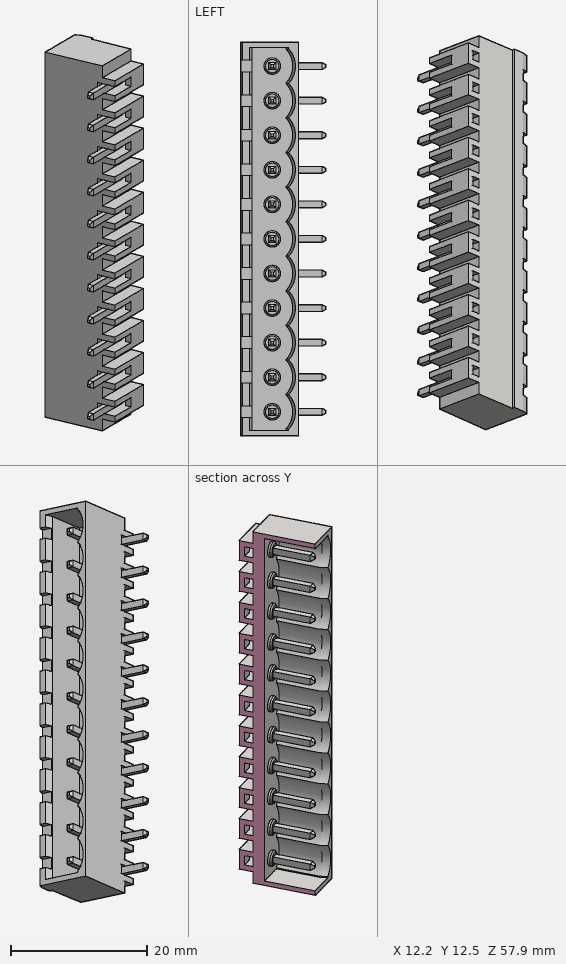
import cadquery as cq
import math


pin_count = 11
pitch = 5.08
housing_length = 57.9
first_pin_z = (housing_length - (pin_count - 1) * pitch) / 2
pin_levels = [first_pin_z + i * pitch for i in range(pin_count)]

housing_depth = 10.0
overall_depth = 12.2
lip_front_height = 8.2
lip_height = 8.5
lip_slope_length = 1.05
lip_length = 2.95
roof_front_height = 8.05
roof_back_height = 7.8

cavity_depth = 8.1
end_wall = 0.8
taper_depth = 1.2
roof_mouth_y = 7.25
roof_inner_y = 6.85
scallop_mouth_y = 0.45
scallop_inner_y = 0.85
scallop_radius = 3.7

notch_width = 1.75
notch_depth = 1.05

rib_width = 3.3
recess_width = 1.45
recess_start_x = 9.2
window_end_x = 11.3

pin_y = 3.9
pin_width = 1.05
pin_front_x = 1.05
pin_tip_length = 0.5
pin_tip_width = 0.4
leg_thickness = 0.85
leg_x = 10.215
leg_length = 4.0
leg_tip_width = 0.4
boss_diameter = 2.45
boss_height = 0.6
boss_chamfer = 0.25
recess_top_y = pin_y + pin_width / 2


def box(x_range, y_range, z_range):
    """Axis-aligned box between pairs of limits."""
    (x0, x1), (y0, y1), (z0, z1) = x_range, y_range, z_range
    return cq.Workplane("XY").box(x1 - x0, y1 - y0, z1 - z0, centered=False).translate((x0, y0, z0))


def box_at_level(x_range, y_range, level, width):
    """Box of the given Z width, centred on one pin level."""
    return box(x_range, y_range, (level - width / 2, level + width / 2))


def rear_roof_height(x):
    """Height of the gently falling roof behind the lip."""
    fall = (roof_front_height - roof_back_height) / (overall_depth - lip_length)
    return roof_front_height - fall * (x - lip_length)


def housing_shell():
    """Housing block with the raised lip along its mating edge."""
    return (
        cq.Workplane("XY")
        .moveTo(0, 0)
        .lineTo(housing_depth, 0)
        .lineTo(housing_depth, rear_roof_height(housing_depth))
        .lineTo(lip_length, roof_front_height)
        .lineTo(lip_length, lip_height)
        .lineTo(lip_slope_length, lip_height)
        .lineTo(0, lip_front_height)
        .close()
        .extrude(housing_length)
    )


def cavity_section(x, roof_y, scallop_y):
    """Cavity outline: flat roof and ends, one arc per pin along the floor side."""
    cusp_y = scallop_y + scallop_radius - math.sqrt(scallop_radius**2 - (pitch / 2) ** 2)
    section = (
        cq.Workplane("YZ", origin=(x, 0, 0))
        .moveTo(roof_y, housing_length - end_wall)
        .lineTo(roof_y, end_wall)
        .lineTo(cusp_y, end_wall)
        .lineTo(cusp_y, pin_levels[0] - pitch / 2)
    )
    for level in pin_levels:
        section = section.threePointArc((scallop_y, level), (cusp_y, level + pitch / 2))
    return section.lineTo(cusp_y, housing_length - end_wall).close()


def cavity():
    """Tapered mouth followed by a straight pocket."""
    mouth = cavity_section(0, roof_mouth_y, scallop_mouth_y).wires().val()
    throat = cavity_section(taper_depth, roof_inner_y, scallop_inner_y).wires().val()
    lead_in = cq.Workplane(cq.Solid.makeLoft([mouth, throat], True))
    pocket = cavity_section(taper_depth, roof_inner_y, scallop_inner_y).extrude(cavity_depth - taper_depth)
    return lead_in.union(pocket)


def rib(level):
    """Rear rib behind one pin, following the slope of the roof."""
    return (
        cq.Workplane("XY", origin=(0, 0, level - rib_width / 2))
        .moveTo(housing_depth, 0)
        .lineTo(overall_depth, 0)
        .lineTo(overall_depth, roof_back_height)
        .lineTo(housing_depth, rear_roof_height(housing_depth))
        .close()
        .extrude(rib_width)
    )


def pin(level):
    """Right-angle pin with pyramid ends, and the chamfered boss it leaves the cavity floor from."""
    boss = (
        cq.Workplane("YZ", origin=(cavity_depth, pin_y, level))
        .circle(boss_diameter / 2)
        .extrude(-boss_height)
        .faces("<X")
        .chamfer(boss_chamfer)
    )
    leg_back_x = leg_x + leg_thickness / 2
    shank = box_at_level(
        (pin_front_x + pin_tip_length, leg_back_x),
        (pin_y - pin_width / 2, pin_y + pin_width / 2),
        level,
        pin_width,
    )
    shank_tip = (
        cq.Workplane("YZ", origin=(pin_front_x + pin_tip_length, pin_y, level))
        .rect(pin_width, pin_width)
        .workplane(offset=-pin_tip_length)
        .rect(pin_tip_width, pin_tip_width)
        .loft()
    )
    leg = box_at_level(
        (leg_x - leg_thickness / 2, leg_back_x),
        (pin_tip_length - leg_length, pin_y),
        level,
        pin_width,
    )
    leg_tip = (
        cq.Workplane("XZ", origin=(leg_x, pin_tip_length - leg_length, level))
        .rect(leg_thickness, pin_width)
        .workplane(offset=pin_tip_length)
        .rect(leg_tip_width, leg_tip_width)
        .loft()
    )
    return boss.union(shank).union(shank_tip).union(leg).union(leg_tip)


result = housing_shell().cut(cavity())
for z in pin_levels:
    notch = box_at_level((0, notch_depth), (roof_inner_y, lip_height), z, notch_width)
    recess = box_at_level((recess_start_x, overall_depth), (0, recess_top_y), z, recess_width)
    window = box_at_level((housing_depth, window_end_x), (0, lip_height), z, recess_width)
    result = result.cut(notch).union(rib(z)).cut(recess).cut(window).union(pin(z))